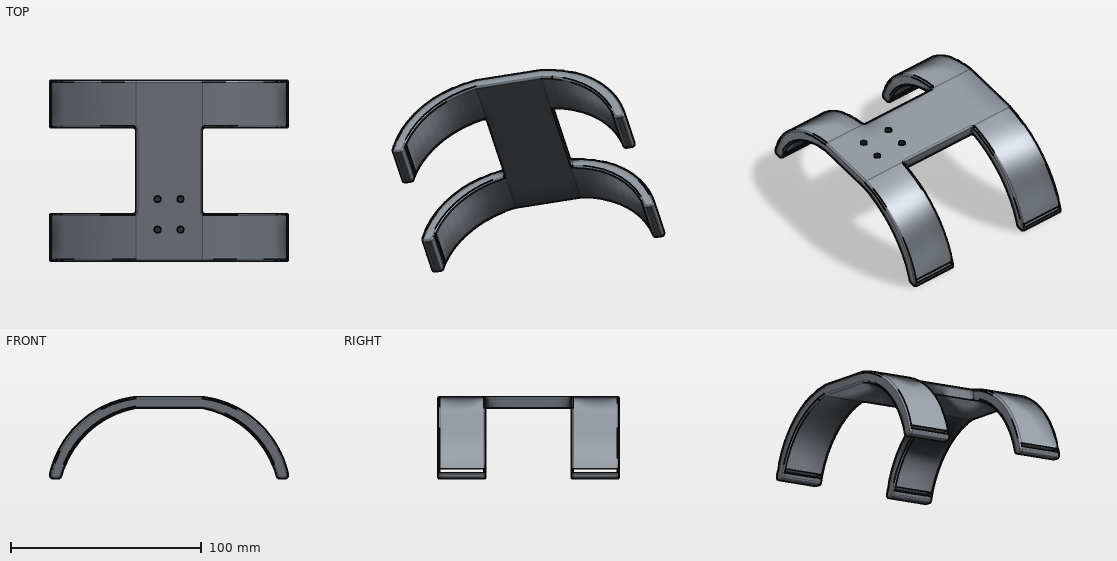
import cadquery as cq
import math

length = 95.0
height = 43.0

plate_width = 35.0
wall = 6.0
arm_width = 25.0

outer_offset = 11.3
outer_radius = 52.5
inner_offset = 8.5
inner_radius = 49.7

edge_radius = 1.0
foot_radius = 2.0

slot_bottom = 3.3
slot_height = 1.9
slot_width = arm_width - 2 * edge_radius

hole_diameter = 3.4
hole_depth = 4.0
hole_spacing_x = 12.0
hole_spacing_y = 16.0
hole_center_y = -22.9

half_plate = plate_width / 2
underside = height - wall
arm_center_y = (length - arm_width) / 2
window_end_y = length / 2 - arm_width


def center_z(radius, offset, z_at_plate):
    """Height of the centre of an arc that passes z_at_plate at the side of the plate."""
    return z_at_plate - math.sqrt(radius**2 - (half_plate - offset) ** 2)


outer_center_z = center_z(outer_radius, outer_offset, height)
inner_center_z = center_z(inner_radius, inner_offset, underside)


def disc(radius, offset, z, center_y):
    """Round slab lying along Y, as wide as an arm."""
    return (
        cq.Workplane("XZ", origin=(0, center_y, 0))
        .center(offset, z)
        .circle(radius)
        .extrude(arm_width / 2, both=True)
    )


def outer_disc(center_y):
    return disc(outer_radius, outer_offset, outer_center_z, center_y)


def right_arm(center_y):
    """Curved arm on the +X side, from the centre of its outer arc down to its rounded foot."""
    inner_disc = disc(inner_radius, inner_offset, inner_center_z, center_y)
    quarter = cq.Workplane("XY", origin=(outer_offset, center_y, 0)).box(
        outer_radius, arm_width, height + wall, centered=(False, True, False)
    )
    arm = outer_disc(center_y).cut(inner_disc).intersect(quarter)
    arm = arm.faces("<Z").edges("|Y").fillet(foot_radius)
    rims = arm.faces("|Y").edges("not(|Z and <X)")
    return rims.fillet(edge_radius)


def bar(width, depth, center_y):
    """Straight bar of the plate's underside, as long in Y as an arm is wide."""
    block = cq.Workplane("XY", origin=(0, center_y, underside)).box(
        width, arm_width, depth, centered=(True, True, False)
    )
    return block.edges("|X and <Z").fillet(edge_radius)


def band(center_y):
    """Two arms and the strip of plate between them, rounded on every rim."""
    arm = right_arm(center_y)
    crown = bar(2 * outer_offset + edge_radius, wall, center_y)
    lower = bar(plate_width + edge_radius, wall / 2, center_y)
    flat_top = (
        cq.Workplane("XY", origin=(0, center_y, 0))
        .box(4 * outer_radius, arm_width, height, centered=(True, True, False))
        .edges("|X and >Z")
        .fillet(edge_radius)
    )
    return arm.union(arm.mirror("YZ")).union(crown).union(lower).intersect(flat_top)


def plate():
    """Middle plate, reaching into both bands, with its two long top edges rounded."""
    block = cq.Workplane("XY", origin=(0, 0, underside)).box(
        plate_width, 2 * arm_center_y, wall, centered=(True, True, False)
    )
    return block.edges("|Y and >Z").fillet(edge_radius)


def inner_corner():
    """Hollow rounding of the (+X, +Y) window corner, flaring out into the top rim."""
    post = cq.Workplane("XY", origin=(half_plate, window_end_y, underside)).box(
        2 * edge_radius, 2 * edge_radius, wall, centered=(True, True, False)
    )
    flare_z = wall - edge_radius
    bend = edge_radius * math.sqrt(0.5)
    flared_cutter = (
        cq.Workplane("XZ", origin=(half_plate + edge_radius, window_end_y - edge_radius, underside))
        .lineTo(edge_radius, 0)
        .lineTo(edge_radius, flare_z)
        .threePointArc((2 * edge_radius - bend, flare_z + bend), (2 * edge_radius, wall))
        .lineTo(0, wall)
        .close()
        .revolve(360, (0, 0, 0), (0, 1, 0))
    )
    return post.cut(flared_cutter).intersect(outer_disc(window_end_y))


def strap_slots():
    """Slots running in X through both arms of each band."""
    return (
        cq.Workplane("XY", origin=(0, 0, slot_bottom))
        .pushPoints([(0, -arm_center_y), (0, arm_center_y)])
        .rect(4 * outer_radius, slot_width)
        .extrude(slot_height)
    )


def screw_holes():
    return (
        cq.Workplane("XY", origin=(0, hole_center_y, height - hole_depth))
        .rect(hole_spacing_x, hole_spacing_y, forConstruction=True)
        .vertices()
        .circle(hole_diameter / 2)
        .extrude(hole_depth)
    )


body = plate().union(band(-arm_center_y)).union(band(arm_center_y))
right_corners = inner_corner().union(inner_corner().mirror("XZ"))
body = body.union(right_corners).union(right_corners.mirror("YZ"))
result = body.cut(strap_slots()).cut(screw_holes())